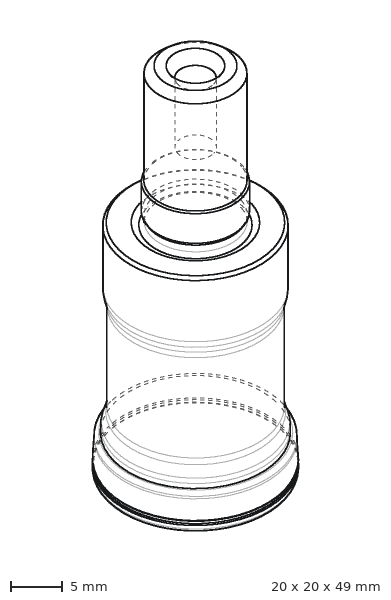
import cadquery as cq
import math

total_height = 49.0

rod_radius = 10.0 / 2
rod_collar_radius = 10.5 / 2
rod_tip_radius = 4.0
rod_chamfer_height = 0.9
collar_top = 35.2
collar_top_chamfer = 0.15
collar_bottom = 31.45
collar_taper_end = 31.05
foot_fillet = 0.5

hole_radius = 4.0 / 2
hole_mouth_radius = 2.85
countersink_half_angle = 30.0
hole_depth = 9.8
drill_half_angle = 59.0

head_top = 30.1
head_radius = 18.0 / 2
head_chamfer = 0.35
barrel_radius = 17.25 / 2
recess_mouth_radius = 6.2
recess_depth = 0.3
head_blend_top = 22.4
head_blend_bottom = 20.2
blend_arc_height = 0.75
skirt_top = 8.1
skirt_cone_end = 6.05
skirt_arc_end = 5.45
skirt_radius = 9.2
flange_radius = 20.0 / 2
flange_top = 4.8
flange_top_radius = 9.85
flange_top_fillet = 0.45
flange_taper_top = 4.05
flange_bottom_fillet = 0.55

groove_top = 1.5
groove_bottom = 0.95
groove_depth = 0.1
groove_side_height = 0.15

recess_floor = head_top - recess_depth
foot_radius = rod_radius + foot_fillet


def arc_point(center_radius, center_z, radius, angle):
    """Point of an arc at an angle (degrees) about its centre in the R-Z plane."""
    turn = math.radians(angle)
    return (center_radius + radius * math.cos(turn), center_z + radius * math.sin(turn))


def revolve_profile(profile):
    """Close an R-Z profile drawn on XZ and turn it about the Z axis."""
    return profile.close().revolve(360, (0, 0, 0), (0, 1, 0))


def blind_hole():
    """Countersunk blind hole with a conical drill point."""
    mouth_depth = (hole_mouth_radius - hole_radius) / math.tan(math.radians(countersink_half_angle))
    point_depth = hole_radius / math.tan(math.radians(drill_half_angle))
    floor_z = total_height - hole_depth
    return revolve_profile(
        cq.Workplane("XZ")
        .moveTo(0, total_height)
        .lineTo(hole_mouth_radius, total_height)
        .lineTo(hole_radius, total_height - mouth_depth)
        .lineTo(hole_radius, floor_z)
        .lineTo(0, floor_z - point_depth)
    )


def make_rod():
    """Rod with a chamfered tip, a raised collar and a flared foot."""
    foot_arc_top = recess_floor + foot_fillet
    foot_mid = arc_point(foot_radius, foot_arc_top, foot_fillet, 225)
    blank = revolve_profile(
        cq.Workplane("XZ")
        .moveTo(0, recess_floor)
        .lineTo(foot_radius, recess_floor)
        .threePointArc(foot_mid, (rod_radius, foot_arc_top))
        .lineTo(rod_radius, collar_taper_end)
        .lineTo(rod_collar_radius, collar_bottom)
        .lineTo(rod_collar_radius, collar_top - collar_top_chamfer)
        .lineTo(rod_radius, collar_top)
        .lineTo(rod_radius, total_height - rod_chamfer_height)
        .lineTo(rod_tip_radius, total_height)
        .lineTo(0, total_height)
    )
    return blank.cut(blind_hole())


def make_housing():
    """Solid of revolution with a shallow dished recess for the foot of the rod."""
    head_slope = (head_radius - barrel_radius) / (head_blend_top - head_blend_bottom - blend_arc_height)
    head_angle = math.atan(head_slope)
    head_arc_radius = blend_arc_height / math.sin(head_angle)
    head_arc_step = head_arc_radius * (1 - math.cos(head_angle))

    skirt_cone_top = skirt_top - blend_arc_height
    skirt_drop = skirt_cone_top - skirt_cone_end
    skirt_arc_height = skirt_cone_end - skirt_arc_end
    half_arcs = (blend_arc_height + skirt_arc_height) / 2
    skirt_angle = math.atan((skirt_radius - barrel_radius) / (skirt_drop + half_arcs))
    skirt_upper_step = blend_arc_height * math.tan(skirt_angle / 2)
    skirt_lower_step = skirt_arc_height * math.tan(skirt_angle / 2)
    skirt_cone_top_radius = barrel_radius + skirt_upper_step
    skirt_cone_end_radius = skirt_radius - skirt_lower_step

    flange_flat_radius = flange_top_radius - flange_top_fillet
    flange_arc_end = flange_top - flange_top_fillet
    flange_top_mid = arc_point(flange_flat_radius, flange_arc_end, flange_top_fillet, 45)
    base_radius = flange_radius - flange_bottom_fillet
    base_mid = arc_point(base_radius, flange_bottom_fillet, flange_bottom_fillet, -45)
    groove_radius = flange_radius - groove_depth

    return revolve_profile(
        cq.Workplane("XZ")
        .moveTo(0, 0)
        .lineTo(base_radius, 0)
        .threePointArc(base_mid, (flange_radius, flange_bottom_fillet))
        .lineTo(flange_radius, groove_bottom)
        .lineTo(groove_radius, groove_bottom + groove_side_height)
        .lineTo(groove_radius, groove_top - groove_side_height)
        .lineTo(flange_radius, groove_top)
        .lineTo(flange_top_radius, flange_taper_top)
        .lineTo(flange_top_radius, flange_arc_end)
        .threePointArc(flange_top_mid, (flange_flat_radius, flange_top))
        .lineTo(skirt_radius, flange_top)
        .lineTo(skirt_radius, skirt_arc_end)
        .tangentArcPoint((skirt_cone_end_radius, skirt_cone_end), relative=False)
        .lineTo(skirt_cone_top_radius, skirt_cone_top)
        .tangentArcPoint((barrel_radius, skirt_top), relative=False)
        .lineTo(barrel_radius, head_blend_bottom)
        .tangentArcPoint((barrel_radius + head_arc_step, head_blend_bottom + blend_arc_height), relative=False)
        .lineTo(head_radius - head_arc_step, head_blend_top - blend_arc_height)
        .tangentArcPoint((head_radius, head_blend_top), relative=False)
        .lineTo(head_radius, head_top - head_chamfer)
        .lineTo(head_radius - head_chamfer, head_top)
        .lineTo(recess_mouth_radius, head_top)
        .lineTo(foot_radius, recess_floor)
        .lineTo(0, recess_floor)
    )


housing = make_housing()
rod = make_rod()

result = cq.Compound.makeCompound([housing.val(), rod.val()])